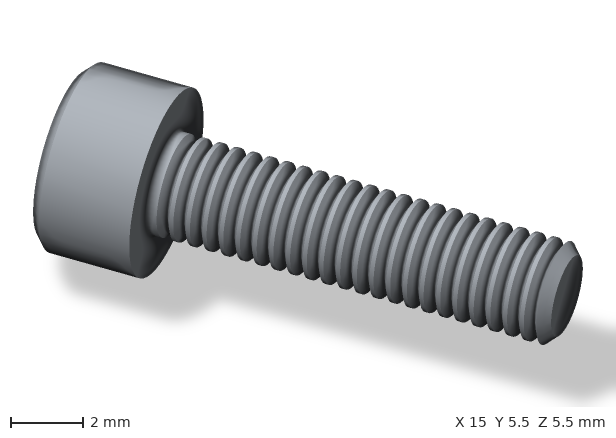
import cadquery as cq
import math

total_length = 15.0
head_diameter = 5.5
head_height = 3.0
head_chamfer = 0.3
shank_diameter = 3.0
neck_fillet = 0.09

socket_sides = 6
socket_across_flats = 2.58
socket_depth = 1.3
socket_cone_angle = 120.0

pitch_count = 24
crest_ratio = 0.25
thread_angle = 60.0

head_radius = head_diameter / 2
shank_radius = shank_diameter / 2
pitch = (total_length - head_height) / pitch_count
groove_half_width = pitch * (1 - crest_ratio) / 2
groove_depth = groove_half_width / math.tan(math.radians(thread_angle / 2))
root_radius = shank_radius - groove_depth


def revolve_about_x(outline):
    """Revolve an open (x, radius) outline, closed on the axis, about the screw axis."""
    return outline.close().revolve(360, (0, 0, 0), (1, 0, 0))


def make_head():
    outline = cq.Workplane("XY").polyline([
        (0, 0),
        (0, head_radius - head_chamfer),
        (head_chamfer, head_radius),
        (head_height, head_radius),
        (head_height, 0),
    ])
    return revolve_about_x(outline)


def make_threaded_shank():
    """Shank with a neck fillet, a V groove at every pitch and a tapered tip."""
    outline = (
        cq.Workplane("XY")
        .moveTo(head_height, 0)
        .lineTo(head_height, shank_radius + neck_fillet)
        .radiusArc((head_height + neck_fillet, shank_radius), -neck_fillet)
    )
    for index in range(1, pitch_count):
        groove_x = head_height + index * pitch
        outline = (
            outline
            .lineTo(groove_x - groove_half_width, shank_radius)
            .lineTo(groove_x, root_radius)
            .lineTo(groove_x + groove_half_width, shank_radius)
        )
    outline = outline.lineTo(total_length, root_radius).lineTo(total_length, 0)
    return revolve_about_x(outline)


def make_socket():
    """Hexagonal recess, corners toward +Y and -Y, ending in a drill-point cone."""
    across_corners = socket_across_flats / math.cos(math.pi / socket_sides)
    hexagon = cq.Workplane("YZ").polygon(socket_sides, across_corners).extrude(socket_depth)
    cone_radius = socket_across_flats / 2
    cone_height = cone_radius / math.tan(math.radians(socket_cone_angle / 2))
    cone_outline = cq.Workplane("XY").polyline([
        (socket_depth, 0),
        (socket_depth, cone_radius),
        (socket_depth + cone_height, 0),
    ])
    return hexagon.union(revolve_about_x(cone_outline))


result = make_head().union(make_threaded_shank()).cut(make_socket())